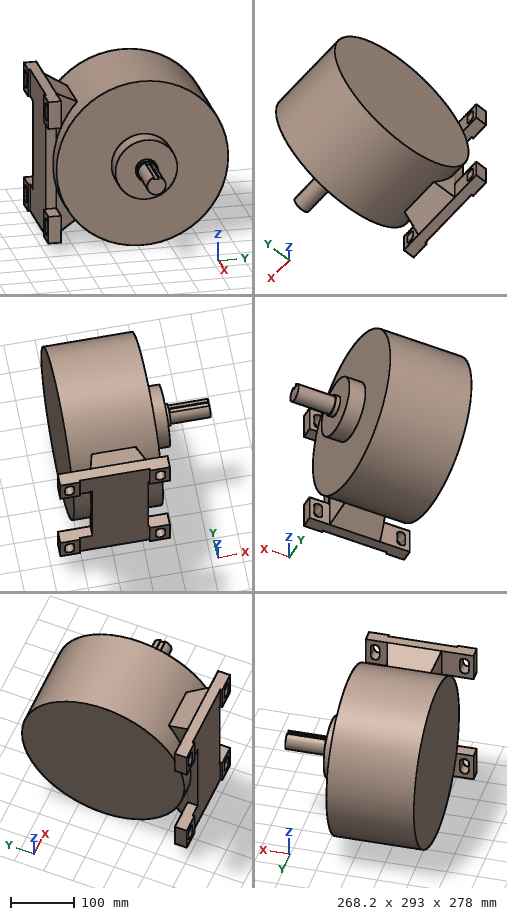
import cadquery as cq

DRUM_DIAMETER = 278.0
DRUM_LENGTH = 143.0
TOTAL_DEPTH = 293.0

HUB_DIAMETER = 100.0
HUB_END = 171.0
COLLAR_DIAMETER = 35.0
COLLAR_END = 178.7
SHAFT_DIAMETER = 30.0
SHAFT_END = 243.2

KEY_WIDTH = 7.5
KEY_DEPTH = 3.8
KEY_START = 179.0

PLATE_LEFT = -25.0
PLATE_RIGHT = 151.2
PLATE_HEIGHT = 239.7
PLATE_THICKNESS = 20.5
WEB_LEFT = 27.2
WEB_RIGHT = 117.2
FOOT_HEIGHT = 45.5

RELIEF_LEFT = 6.7
RELIEF_RIGHT = 119.0
RELIEF_DEPTH = 3.2

SLOT_WIDTH = 14.6
SLOT_LENGTH = 28.5
SLOT_LEFT_X = -10.0
SLOT_RIGHT_X = 136.0
SLOT_Z = 97.3

PEDESTAL_BASE_WIDTH = 88.5
PEDESTAL_TOP_WIDTH = 71.0
PEDESTAL_TOP_HEIGHT = 198.0
PEDESTAL_RISE = 36.0

DRUM_RADIUS = DRUM_DIAMETER / 2
PLATE_BOTTOM = DRUM_RADIUS - TOTAL_DEPTH
PLATE_TOP = PLATE_BOTTOM + PLATE_THICKNESS


def box_between(x_min, x_max, y_min, y_max, z_min, z_max):
    """Box spanning the given limits."""
    size = (x_max - x_min, y_max - y_min, z_max - z_min)
    return cq.Workplane("XY").box(*size, centered=False).translate((x_min, y_min, z_min))


def round_step(diameter, x_start, x_end):
    """Cylinder on the drum axis."""
    return cq.Workplane("YZ", origin=(x_start, 0, 0)).circle(diameter / 2).extrude(x_end - x_start)


def make_drum_and_shaft():
    drum = round_step(DRUM_DIAMETER, 0, DRUM_LENGTH)
    hub = round_step(HUB_DIAMETER, DRUM_LENGTH, HUB_END)
    collar = round_step(COLLAR_DIAMETER, HUB_END, COLLAR_END)
    shaft = round_step(SHAFT_DIAMETER, COLLAR_END, SHAFT_END).cut(make_keyway())
    return drum.union(hub).union(collar).union(shaft)


def make_keyway():
    """Cutter with a round inner end just short of the collar."""
    floor_z = SHAFT_DIAMETER / 2 - KEY_DEPTH
    round_center = KEY_START + KEY_WIDTH / 2
    half_width = KEY_WIDTH / 2
    return (
        cq.Workplane("XY", origin=(0, 0, floor_z))
        .moveTo(SHAFT_END, -half_width)
        .lineTo(round_center, -half_width)
        .threePointArc((KEY_START, 0), (round_center, half_width))
        .lineTo(SHAFT_END, half_width)
        .close()
        .extrude(SHAFT_DIAMETER)
    )


def make_plate():
    """H-shaped plate: a central web with a wide crossbar at each end."""
    top = PLATE_HEIGHT / 2
    plate = box_between(WEB_LEFT, WEB_RIGHT, PLATE_BOTTOM, PLATE_TOP, -top, top)
    for z_min in (-top, top - FOOT_HEIGHT):
        crossbar = box_between(
            PLATE_LEFT, PLATE_RIGHT, PLATE_BOTTOM, PLATE_TOP, z_min, z_min + FOOT_HEIGHT
        )
        plate = plate.union(crossbar)
    relief = box_between(
        RELIEF_LEFT, RELIEF_RIGHT, PLATE_BOTTOM, PLATE_BOTTOM + RELIEF_DEPTH, -top, top
    )
    slot_centers = [(x, z) for x in (SLOT_LEFT_X, SLOT_RIGHT_X) for z in (-SLOT_Z, SLOT_Z)]
    slots = (
        cq.Workplane("XZ", origin=(0, PLATE_TOP, 0))
        .pushPoints(slot_centers)
        .slot2D(SLOT_LENGTH, SLOT_WIDTH, 90)
        .extrude(PLATE_THICKNESS)
    )
    return plate.cut(relief).cut(slots)


def make_pedestal():
    """Frustum centred under the drum; its top is buried in the drum."""
    return (
        cq.Workplane("XZ", origin=(DRUM_LENGTH / 2, PLATE_TOP, 0))
        .rect(PEDESTAL_BASE_WIDTH, PLATE_HEIGHT)
        .workplane(offset=-PEDESTAL_RISE)
        .rect(PEDESTAL_TOP_WIDTH, PEDESTAL_TOP_HEIGHT)
        .loft(ruled=True)
    )


result = make_drum_and_shaft().union(make_plate()).union(make_pedestal())